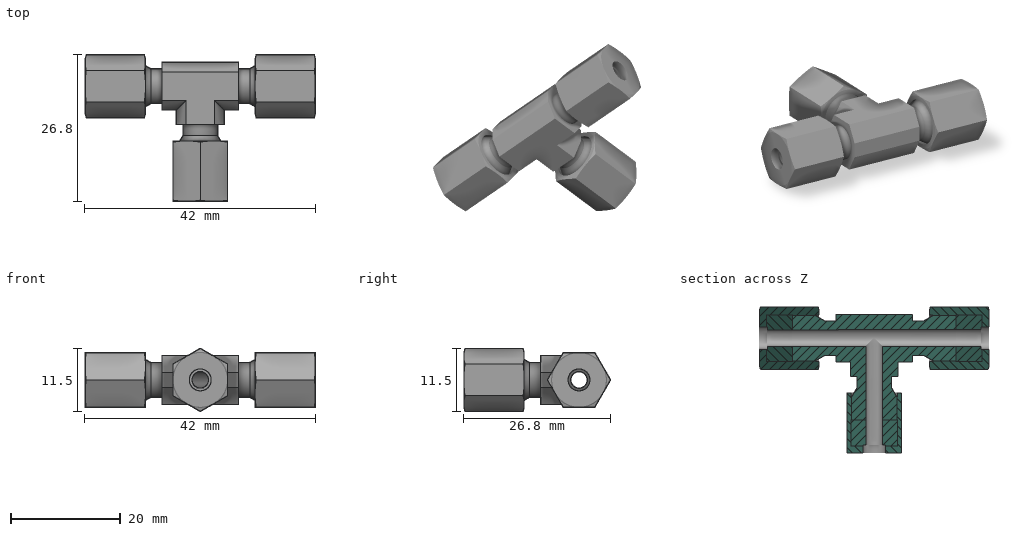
import cadquery as cq
import math


BLOCK_END = 7.0
NECK_END = 9.05
NUT_START = 10.0
SPIGOT_END = 15.0
ARM_END = 21.0

BLOCK_FLATS = 9.0
BLOCK_WIDTH = 8.78
NECK_DIAMETER = 6.4
SPIGOT_DIAMETER = 8.4
CONE_ANGLE = 30.0
NUT_FLATS = 10.0
NUT_BEVEL_ANGLE = 15.0
FLOW_BORE = 3.0
TUBE_BORE = 4.0
NUT_BORE_DEPTH = 1.4
TUBE_SEAT_DEPTH = 0.13

HEX_FLAT_RATIO = math.cos(math.pi / 6)
NUT_SEAT = ARM_END - NUT_BORE_DEPTH
CONE_LENGTH = (SPIGOT_DIAMETER - NECK_DIAMETER) / 2 / math.tan(math.radians(CONE_ANGLE))

BRANCH_DIRECTION = -90
ARMS = [(0, 0), (180, 0), (BRANCH_DIRECTION, 90)]


def rod(diameter, start, end):
    """Cylinder along +X from start to end."""
    return cq.Workplane("YZ").workplane(offset=start).circle(diameter / 2).extrude(end - start)


def hex_bar(flats, start, end):
    """Hexagonal bar along +X from start to end, with flats on its top and bottom."""
    corners = flats / HEX_FLAT_RATIO
    return cq.Workplane("YZ").workplane(offset=start).polygon(6, corners).extrude(end - start)


def turned(profile):
    """Solid of revolution about the X axis, from (x, radius) points."""
    return cq.Workplane("XY").polyline(profile).close().revolve(360, (0, 0, 0), (1, 0, 0))


def point_along(shape, direction):
    """Swing a shape built along +X to the direction of its arm."""
    return shape.rotate((0, 0, 0), (0, 0, 1), direction)


def block_bar(start, end):
    """Hexagonal bar along X with its two side corners cut flat."""
    envelope = cq.Workplane("XY").box(2 * ARM_END, BLOCK_WIDTH, BLOCK_FLATS)
    return hex_bar(BLOCK_FLATS, start, end).intersect(envelope)


def make_spigot():
    """Neck that widens in a cone to the spigot held in the nut."""
    neck_radius = NECK_DIAMETER / 2
    spigot_radius = SPIGOT_DIAMETER / 2
    return turned([
        (0, 0),
        (0, neck_radius),
        (NECK_END, neck_radius),
        (NECK_END + CONE_LENGTH, spigot_radius),
        (SPIGOT_END, spigot_radius),
        (SPIGOT_END, 0),
    ])


def make_body():
    """Block with a run along X and a branch toward -Y, three spigots, and the flow bores."""
    body = block_bar(-BLOCK_END, BLOCK_END).union(point_along(block_bar(0, BLOCK_END), BRANCH_DIRECTION))
    for direction, _ in ARMS:
        body = body.union(point_along(make_spigot(), direction))
    for direction, _ in ARMS:
        body = body.cut(point_along(rod(FLOW_BORE, 0, SPIGOT_END), direction))
    return body


def make_nut(direction, turn):
    """Hexagonal nut with beveled corners at both ends, a wide bore and a tube bore."""
    flat_radius = NUT_FLATS / 2
    corner_radius = flat_radius / HEX_FLAT_RATIO
    bevel = (corner_radius - flat_radius) * math.tan(math.radians(NUT_BEVEL_ANGLE))
    bevel_envelope = turned([
        (NUT_START, 0),
        (NUT_START, flat_radius),
        (NUT_START + bevel, corner_radius),
        (ARM_END - bevel, corner_radius),
        (ARM_END, flat_radius),
        (ARM_END, 0),
    ])
    nut = hex_bar(NUT_FLATS, NUT_START, ARM_END).intersect(bevel_envelope)
    nut = nut.cut(rod(SPIGOT_DIAMETER, NUT_START, NUT_SEAT))
    nut = nut.cut(rod(TUBE_BORE, NUT_SEAT, ARM_END))
    nut = nut.rotate((0, 0, 0), (1, 0, 0), turn)
    return point_along(nut, direction)


def make_ferrule(direction):
    """Sleeve between spigot and nut seat, with a shallow counterbore for the tube."""
    ferrule = rod(SPIGOT_DIAMETER, SPIGOT_END, NUT_SEAT)
    ferrule = ferrule.cut(rod(FLOW_BORE, SPIGOT_END, NUT_SEAT))
    ferrule = ferrule.cut(rod(TUBE_BORE, NUT_SEAT - TUBE_SEAT_DEPTH, NUT_SEAT))
    return point_along(ferrule, direction)


tee_body = make_body()
union_nuts = [make_nut(direction, turn) for direction, turn in ARMS]
ferrules = [make_ferrule(direction) for direction, _ in ARMS]

result = cq.Compound.makeCompound([
    tee_body.val(),
    *[nut.val() for nut in union_nuts],
    *[ferrule.val() for ferrule in ferrules],
])